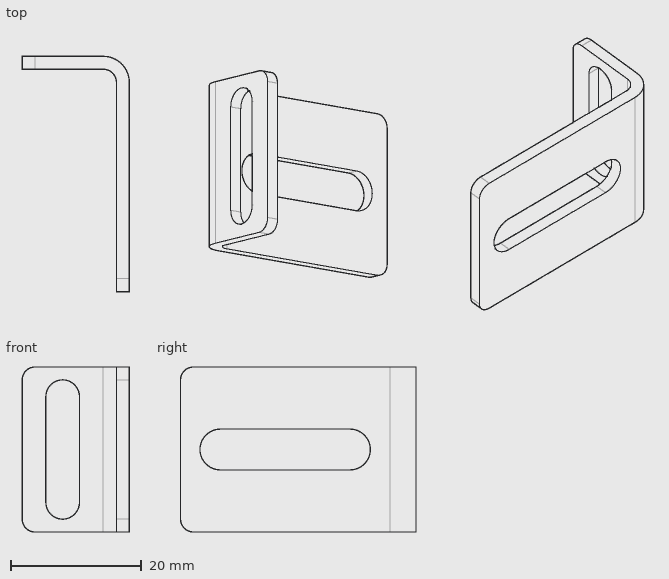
import cadquery as cq

short_leg_length = 16.4
long_leg_length = 36.0
height = 25.25

thickness = 2.0
inner_bend_radius = 2.0
outer_bend_radius = inner_bend_radius + thickness
corner_radius = 2.0

short_slot_length = 21.25
short_slot_width = 5.1
long_slot_length = 26.0
long_slot_width = 6.2

short_slot_x = -(short_leg_length + outer_bend_radius) / 2
long_slot_y = -(long_leg_length + outer_bend_radius) / 2
mid_height = height / 2


def bent_sheet():
    """L-shaped sheet with a concentric round bend, extruded along Z."""
    outer_block = (
        cq.Workplane("XY")
        .box(short_leg_length, long_leg_length, height, centered=False)
        .translate((-short_leg_length, -long_leg_length, 0))
        .edges("|Z and >X and >Y")
        .fillet(outer_bend_radius)
    )
    inner_space = (
        cq.Workplane("XY")
        .box(short_leg_length, long_leg_length, height, centered=False)
        .translate((-short_leg_length - thickness, -long_leg_length - thickness, 0))
        .edges("|Z and >X and >Y")
        .fillet(inner_bend_radius)
    )
    return outer_block.cut(inner_space)


def round_free_corners(sheet):
    """Round the two outer corners at the end of each leg."""
    sheet = sheet.faces("<X").edges("|Y").fillet(corner_radius)
    return sheet.faces("<Y").edges("|X").fillet(corner_radius)


def short_leg_slot():
    """Upright slot cutter through the short leg."""
    return (
        cq.Workplane("XZ", origin=(short_slot_x, 0, mid_height))
        .slot2D(short_slot_length, short_slot_width, 90)
        .extrude(thickness)
    )


def long_leg_slot():
    """Lengthwise slot cutter through the long leg."""
    return (
        cq.Workplane("YZ", origin=(0, long_slot_y, mid_height))
        .slot2D(long_slot_length, long_slot_width)
        .extrude(-thickness)
    )


bracket = round_free_corners(bent_sheet())
result = bracket.cut(short_leg_slot()).cut(long_leg_slot())